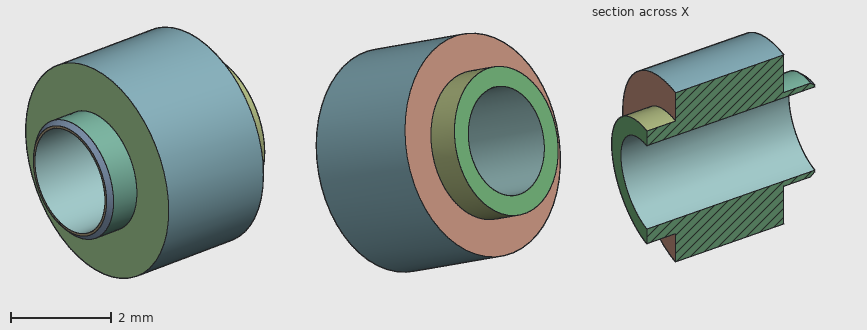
import cadquery as cq

body_diameter = 4.5
front_hub_diameter = 2.5
rear_hub_diameter = 3.0
bore_diameter = 2.2

total_length = 3.8
front_hub_length = 0.7
rear_hub_length = 0.65
body_length = total_length - front_hub_length - rear_hub_length

hub_chamfer = 0.1


def cylinder_along_y(diameter, start_y, length):
    """Solid cylinder on the Y axis, running from start_y toward +Y."""
    plane = cq.Plane(origin=(0, start_y, 0), xDir=(1, 0, 0), normal=(0, 1, 0))
    return cq.Workplane(plane).circle(diameter / 2).extrude(length)


body = cylinder_along_y(body_diameter, 0, body_length)
rear_hub = cylinder_along_y(rear_hub_diameter, body_length, rear_hub_length)

front_hub = cylinder_along_y(front_hub_diameter, -front_hub_length, front_hub_length)
front_hub = front_hub.faces("<Y").edges().chamfer(hub_chamfer)

bore = cylinder_along_y(bore_diameter, -front_hub_length, total_length)

result = body.union(rear_hub).union(front_hub).cut(bore)